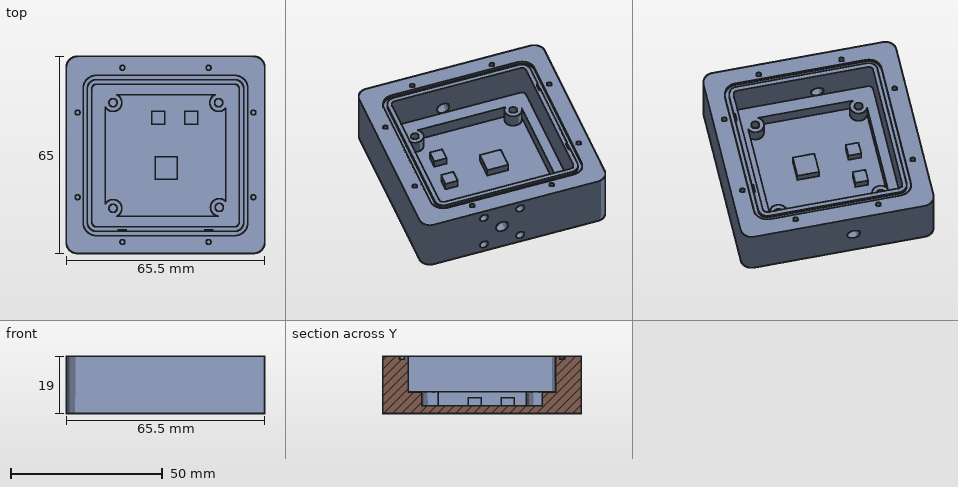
import cadquery as cq

length_x = 65.5
width_y = 65.0
height = 19.0
corner_radius = 3.75

interior_y = -0.2
cavity_x = 48.5
cavity_y = 47.0
cavity_corner_radius = 1.5
ledge_z = 7.2
pocket_x = 39.6
pocket_y = 40.1
pocket_corner_radius = 3.0
floor_z = 2.7

rim_width = 1.5
groove_width = 1.4
groove_depth = 1.0

notch_width = 2.6
notch_length = 0.5
notch_depth = 0.4

post_diameter = 5.8
post_hole_diameter = 2.7
post_hole_depth = 4.0
post_centers = [(-17.3, 17.2), (17.5, 17.2), (-17.3, -17.6), (17.7, -17.3)]

small_pad_side = 4.3
small_pad_y = 12.3
small_pad_xs = [-2.4, 8.45]
large_pad_side = 7.3
large_pad_center = (0.25, -4.3)
pad_height = 2.6

screw_hole_diameter = 1.6
screw_hole_depth = 6.0
screw_edge_distance = 3.8
screw_half_spacing_x = 14.2
screw_half_spacing_y = 13.95

connector_y = 4.8
connector_z = height / 2
connector_bore_diameter = 4.3
flange_hole_spacing = 12.7
flange_hole_diameter = 2.9
flange_hole_depth = 5.0


def rounded_block(size_x, size_y, center_y, bottom, top, radius):
    """Upright block with rounded vertical edges."""
    block = cq.Workplane("XY", origin=(0, center_y, bottom)).rect(size_x, size_y).extrude(top - bottom)
    return block.edges("|Z").fillet(radius)


def seal_ring_block(offset):
    """Block that follows the cavity outline at an outward offset, as deep as the seal groove."""
    return rounded_block(
        cavity_x + 2 * offset,
        cavity_y + 2 * offset,
        interior_y,
        height - groove_depth,
        height,
        cavity_corner_radius + offset,
    )


def rim_notches():
    """Shallow notches in the top edge of the groove's inner wall on the -Y side."""
    groove_inner_wall_y = interior_y - cavity_y / 2 - rim_width
    return (
        cq.Workplane("XY", origin=(0, groove_inner_wall_y, height))
        .pushPoints([(-screw_half_spacing_x, 0), (screw_half_spacing_x, 0)])
        .rect(notch_width, 2 * notch_length)
        .extrude(-notch_depth)
    )


def interior():
    """Material removed for the chamber and pocket, with the board posts left standing."""
    chamber = rounded_block(cavity_x, cavity_y, interior_y, ledge_z, height, cavity_corner_radius)
    pocket = rounded_block(pocket_x, pocket_y, interior_y, floor_z, ledge_z, pocket_corner_radius)
    posts = (
        cq.Workplane("XY", origin=(0, 0, floor_z))
        .pushPoints(post_centers)
        .circle(post_diameter / 2)
        .extrude(ledge_z - floor_z)
    )
    return chamber.union(pocket.cut(posts))


def vertical_holes(centers, diameter, top, depth):
    """Blind holes drilled straight down from the given level."""
    return cq.Workplane("XY", origin=(0, 0, top)).pushPoints(centers).circle(diameter / 2).extrude(-depth)


def floor_pad(center, side):
    """Square pad standing on the pocket floor."""
    return cq.Workplane("XY", origin=(*center, floor_z)).rect(side, side).extrude(pad_height)


def lid_screw_holes():
    """Screw holes in the top face, two beside each edge."""
    edge_x = length_x / 2 - screw_edge_distance
    edge_y = width_y / 2 - screw_edge_distance
    centers = []
    for side in (-1, 1):
        for end in (-1, 1):
            centers.append((side * edge_x, end * screw_half_spacing_y))
            centers.append((end * screw_half_spacing_x, side * edge_y))
    return vertical_holes(centers, screw_hole_diameter, height, screw_hole_depth)


def connector_holes():
    """Bore through both X walls and the square of blind flange holes around it."""
    face = cq.Workplane("YZ", origin=(-length_x / 2, connector_y, connector_z))
    bore = face.circle(connector_bore_diameter / 2).extrude(length_x)
    flange = (
        face.rarray(flange_hole_spacing, flange_hole_spacing, 2, 2)
        .circle(flange_hole_diameter / 2)
        .extrude(flange_hole_depth)
    )
    return bore.union(flange)


body = rounded_block(length_x, width_y, 0, 0, height, corner_radius)
body = body.cut(interior())

groove = seal_ring_block(rim_width + groove_width).cut(seal_ring_block(rim_width))
body = body.cut(groove)
body = body.cut(rim_notches())

body = body.cut(vertical_holes(post_centers, post_hole_diameter, ledge_z, post_hole_depth))
body = body.cut(lid_screw_holes())
body = body.cut(connector_holes())

for pad_x in small_pad_xs:
    body = body.union(floor_pad((pad_x, small_pad_y), small_pad_side))
body = body.union(floor_pad(large_pad_center, large_pad_side))

result = body